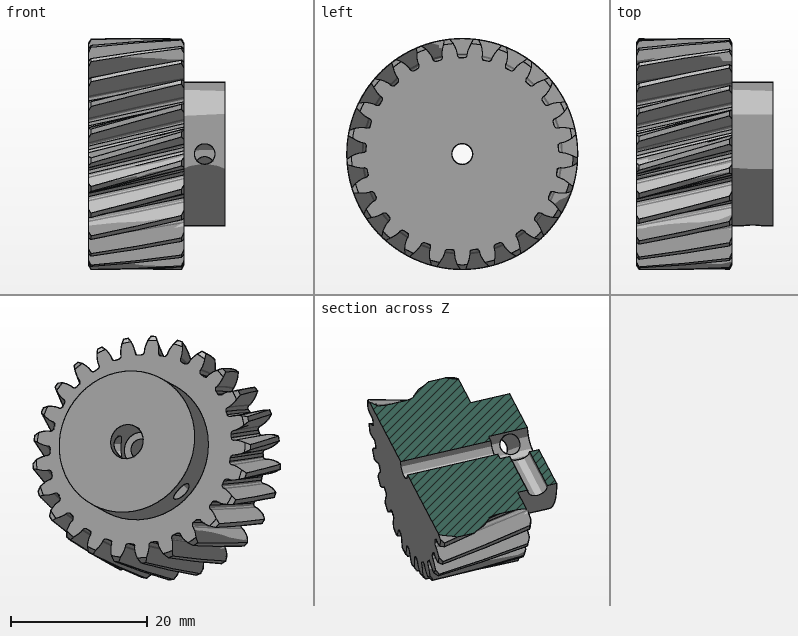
import cadquery as cq
import math

TEETH = 25
MODULE = 1.25
HELIX_ANGLE = 15.0
NORMAL_PRESSURE_ANGLE = 20.0
BACKLASH = 0.1
ADDENDUM = MODULE
DEDENDUM = 1.25 * MODULE
FACE_WIDTH = 14.0
ROOT_FILLET = 0.45
FLANK_POINTS = 5

CHAMFER_DEPTH = 0.7
CHAMFER_LENGTH = 0.4

HUB_DIAMETER = 21.0
HUB_LENGTH = 6.0
SHAFT_BORE_DIAMETER = 5.05
THROUGH_BORE_DIAMETER = 3.0
SET_SCREW_DIAMETER = 3.0
SET_SCREW_DIRECTIONS = (180.0, -45.0)

PITCH_RADIUS = TEETH * MODULE / 2
TIP_RADIUS = PITCH_RADIUS + ADDENDUM
ROOT_RADIUS = PITCH_RADIUS - DEDENDUM
HELIX = math.radians(HELIX_ANGLE)
PRESSURE_ANGLE = math.atan(math.tan(math.radians(NORMAL_PRESSURE_ANGLE)) / math.cos(HELIX))
BASE_RADIUS = PITCH_RADIUS * math.cos(PRESSURE_ANGLE)
TOOTH_PITCH = 2 * math.pi / TEETH
TWIST = math.degrees(FACE_WIDTH * math.tan(HELIX) / PITCH_RADIUS)
TOTAL_LENGTH = FACE_WIDTH + HUB_LENGTH
SET_SCREW_X = FACE_WIDTH + HUB_LENGTH / 2


def polar(radius, angle):
    """Point at a radius and an angle (radians) in the transverse plane."""
    return (radius * math.cos(angle), radius * math.sin(angle))


def involute(angle):
    """Involute function of a pressure angle."""
    return math.tan(angle) - angle


def gap_half_angle(radius):
    """Half the angle spanned by a tooth gap at a radius on the involute."""
    at_pitch = TOOTH_PITCH / 4 + BACKLASH / (2 * PITCH_RADIUS)
    local_pressure = math.acos(min(1.0, BASE_RADIUS / radius))
    return at_pitch + involute(local_pressure) - involute(PRESSURE_ANGLE)


def flank(center, side):
    """Points of one gap flank from the base circle out to the tip circle."""
    step = (TIP_RADIUS - BASE_RADIUS) / (FLANK_POINTS - 1)
    radii = [BASE_RADIUS + i * step for i in range(FLANK_POINTS)]
    return [polar(r, center + side * gap_half_angle(r)) for r in radii]


def root_fillet(center, side):
    """Start (on the root circle), middle and end (on the radial wall) of a root fillet."""
    center_radius = ROOT_RADIUS + ROOT_FILLET
    wall_angle = gap_half_angle(BASE_RADIUS)
    inset = math.asin(ROOT_FILLET / center_radius)
    fillet_angle = center + side * (wall_angle - inset)
    cx, cy = polar(center_radius, fillet_angle)
    middle_direction = fillet_angle + math.pi - side * (math.pi / 2 + inset) / 2
    mx, my = polar(ROOT_FILLET, middle_direction)
    start = polar(ROOT_RADIUS, fillet_angle)
    end = polar(center_radius * math.cos(inset), center + side * wall_angle)
    return start, (cx + mx, cy + my), end


def gear_outline():
    """Closed transverse outline of all teeth, with one gap centered on +Z."""
    first_gap = math.pi / 2
    outline = cq.Workplane("YZ").moveTo(*flank(first_gap, -1)[-1])
    for i in range(TEETH):
        center = first_gap + i * TOOTH_PITCH
        down = flank(center, -1)[::-1]
        up = flank(center, 1)
        right_start, right_middle, right_end = root_fillet(center, -1)
        left_start, left_middle, left_end = root_fillet(center, 1)
        next_gap = center + TOOTH_PITCH
        outline = (
            outline.spline(down[1:], includeCurrent=True)
            .lineTo(*right_end)
            .threePointArc(right_middle, right_start)
            .threePointArc(polar(ROOT_RADIUS, center), left_start)
            .threePointArc(left_middle, left_end)
            .lineTo(*up[0])
            .spline(up[1:], includeCurrent=True)
            .threePointArc(polar(TIP_RADIUS, next_gap - TOOTH_PITCH / 2), flank(next_gap, -1)[-1])
        )
    return outline.close()


def chamfered_blank():
    """Disc with both rims chamfered, which trims the tooth ends."""
    rim = TIP_RADIUS - CHAMFER_DEPTH
    profile = [
        (0, 0),
        (0, rim),
        (CHAMFER_LENGTH, TIP_RADIUS),
        (FACE_WIDTH - CHAMFER_LENGTH, TIP_RADIUS),
        (FACE_WIDTH, rim),
        (FACE_WIDTH, 0),
    ]
    return cq.Workplane("XY").polyline(profile).close().revolve(360, (0, 0, 0), (1, 0, 0))


def cylinder_x(diameter, start, end):
    """Cylinder on the X axis between two X positions."""
    return cq.Workplane("YZ", origin=(start, 0, 0)).circle(diameter / 2).extrude(end - start)


def set_screw_hole(direction):
    """Radial cutter from the gear axis out through the hub wall."""
    hole = cq.Workplane("XZ", origin=(SET_SCREW_X, 0, 0)).circle(SET_SCREW_DIAMETER / 2)
    return hole.extrude(-HUB_DIAMETER).rotate((0, 0, 0), (1, 0, 0), direction)


def build():
    gear = gear_outline().twistExtrude(FACE_WIDTH, -TWIST).intersect(chamfered_blank())
    part = gear.union(cylinder_x(HUB_DIAMETER, FACE_WIDTH, TOTAL_LENGTH))
    part = part.cut(cylinder_x(THROUGH_BORE_DIAMETER, 0, TOTAL_LENGTH))
    part = part.cut(cylinder_x(SHAFT_BORE_DIAMETER, FACE_WIDTH, TOTAL_LENGTH))
    for direction in SET_SCREW_DIRECTIONS:
        part = part.cut(set_screw_hole(direction))
    return part


result = build()